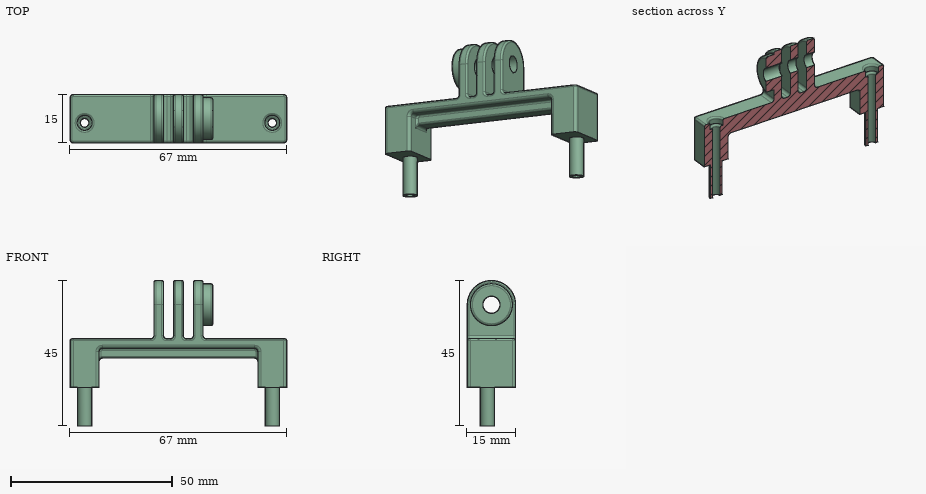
import cadquery as cq
import math

length = 67.0
depth = 15.0
leg_height = 15.0
leg_width = 9.0
plate_thickness = 3.0

corner_radius = 1.0
edge_radius = 0.6

rib_width = 6.0
rib_drop = 3.0

fin_count = 3
fin_thickness = 3.0
fin_pitch = 6.1
fin_height = 18.0
fin_base_radius = 1.0
pivot_hole_diameter = 5.2
boss_diameter = 13.0
boss_length = 3.0

pin_diameter = 4.5
pin_length = 12.0
pin_inset = 4.5
pin_y = -1.3
bore_diameter = 2.6
counterbore_diameter = 4.6
counterbore_depth = 2.2

half_length = length / 2
half_depth = depth / 2
leg_inner_x = half_length - leg_width
rib_bottom_z = -plate_thickness - rib_drop
pin_x = half_length - pin_inset
fin_tip_radius = half_depth
pivot_z = fin_height - fin_tip_radius
fin_positions = [(i - (fin_count - 1) / 2) * fin_pitch for i in range(fin_count)]
last_fin_face_x = fin_positions[-1] + fin_thickness / 2
tolerance = 0.01


def box_between(low, high):
    """Box spanning two opposite corner points."""
    size = [b - a for a, b in zip(low, high)]
    return cq.Workplane("XY").box(*size, centered=False).translate(low)


def make_bridge():
    """Plate and legs with rounded vertical edges and a rounded arch."""
    block = box_between((-half_length, -half_depth, -leg_height), (half_length, half_depth, 0))
    block = block.edges("|Z").fillet(corner_radius)
    arch = box_between(
        (-leg_inner_x, -half_depth, -leg_height), (leg_inner_x, half_depth, -plate_thickness)
    )
    arch = arch.edges("|Y and >Z").fillet(corner_radius)
    bridge = block.cut(arch)
    arch_rim = cq.selectors.BoxSelector(
        (-leg_inner_x - tolerance, -depth, -leg_height + tolerance),
        (leg_inner_x + tolerance, depth, -plate_thickness + tolerance),
    )
    return bridge.edges(arch_rim).edges("<Y or >Y").fillet(corner_radius)


def make_fin(x):
    """One fin: an upright slab with a round tip, its foot sunk into the plate."""
    foot_z = -plate_thickness / 2
    return (
        cq.Workplane("YZ", origin=(x - fin_thickness / 2, 0, 0))
        .moveTo(-half_depth, foot_z)
        .lineTo(-half_depth, pivot_z)
        .threePointArc((0, fin_height), (half_depth, pivot_z))
        .lineTo(half_depth, foot_z)
        .close()
        .extrude(fin_thickness)
    )


def add_fins(bridge):
    """Add the fins, blend their feet into the plate, then round all upper edges."""
    for x in fin_positions:
        bridge = bridge.union(make_fin(x))
    feet_reach = last_fin_face_x + tolerance
    fin_feet = cq.selectors.BoxSelector(
        (-feet_reach, -depth, -tolerance), (feet_reach, depth, tolerance)
    )
    bridge = bridge.edges(fin_feet).edges("|Y").fillet(fin_base_radius)
    plate_top = cq.selectors.BoxSelector((-length, -depth, -tolerance), (length, depth, tolerance))
    return bridge.edges(plate_top).edges("not(|Y)").fillet(edge_radius)


def add_rib(bridge):
    """Add a central rib under the plate, blended into plate and legs, with rounded lower edges."""
    overlap = corner_radius
    rib = box_between(
        (-leg_inner_x - overlap, -rib_width / 2, rib_bottom_z),
        (leg_inner_x + overlap, rib_width / 2, -plate_thickness + overlap),
    )
    rib_surroundings = cq.selectors.BoxSelector(
        (-leg_inner_x - tolerance, -rib_width / 2 - tolerance, rib_bottom_z - 2 * corner_radius),
        (leg_inner_x + tolerance, rib_width / 2 + tolerance, -plate_thickness + tolerance),
    )
    bridge = bridge.union(rib)
    bridge = bridge.edges(rib_surroundings).edges("|Y").edges("<Z").fillet(corner_radius)
    bridge = bridge.edges(rib_surroundings).edges("|X").edges(">Z").fillet(edge_radius)
    return bridge.edges(rib_surroundings).edges("|X").edges("<Z").fillet(edge_radius)


def make_boss():
    """Round boss on the outer face of the last fin, with a rounded rim."""
    boss = (
        cq.Workplane("YZ", origin=(last_fin_face_x - fin_thickness / 2, 0, pivot_z))
        .circle(boss_diameter / 2)
        .extrude(fin_thickness / 2 + boss_length)
    )
    return boss.faces(">X").edges().fillet(edge_radius)


def make_pivot_hole():
    """Cutter for the pivot hole through all fins and the boss."""
    return (
        cq.Workplane("YZ", origin=(0, 0, pivot_z))
        .circle(pivot_hole_diameter / 2)
        .extrude(half_length, both=True)
    )


def make_pin(x):
    """Pin hanging below a leg."""
    return (
        cq.Workplane("XY", origin=(x, pin_y, -leg_height - pin_length))
        .circle(pin_diameter / 2)
        .extrude(pin_length + corner_radius)
    )


def make_pin_bore(x):
    """Cutter for the stepped bore, leaving its rim and its inner step rounded."""
    bore_r = bore_diameter / 2
    counterbore_r = counterbore_diameter / 2
    bottom = -leg_height - pin_length
    arc_mid = edge_radius * (1 - math.sqrt(0.5))
    profile = (
        cq.Workplane("XZ", origin=(x, pin_y, 0))
        .moveTo(0, bottom)
        .lineTo(bore_r, bottom)
        .lineTo(bore_r, -counterbore_depth - edge_radius)
        .threePointArc(
            (bore_r + arc_mid, -counterbore_depth - arc_mid),
            (bore_r + edge_radius, -counterbore_depth),
        )
        .lineTo(counterbore_r, -counterbore_depth)
        .lineTo(counterbore_r, -edge_radius)
        .threePointArc((counterbore_r + arc_mid, -arc_mid), (counterbore_r + edge_radius, 0))
        .lineTo(0, 0)
        .close()
    )
    return profile.revolve(360, (0, 0, 0), (0, 1, 0))


result = add_rib(add_fins(make_bridge()))
result = result.union(make_boss()).cut(make_pivot_hole())
for side in (-1, 1):
    result = result.union(make_pin(side * pin_x)).cut(make_pin_bore(side * pin_x))